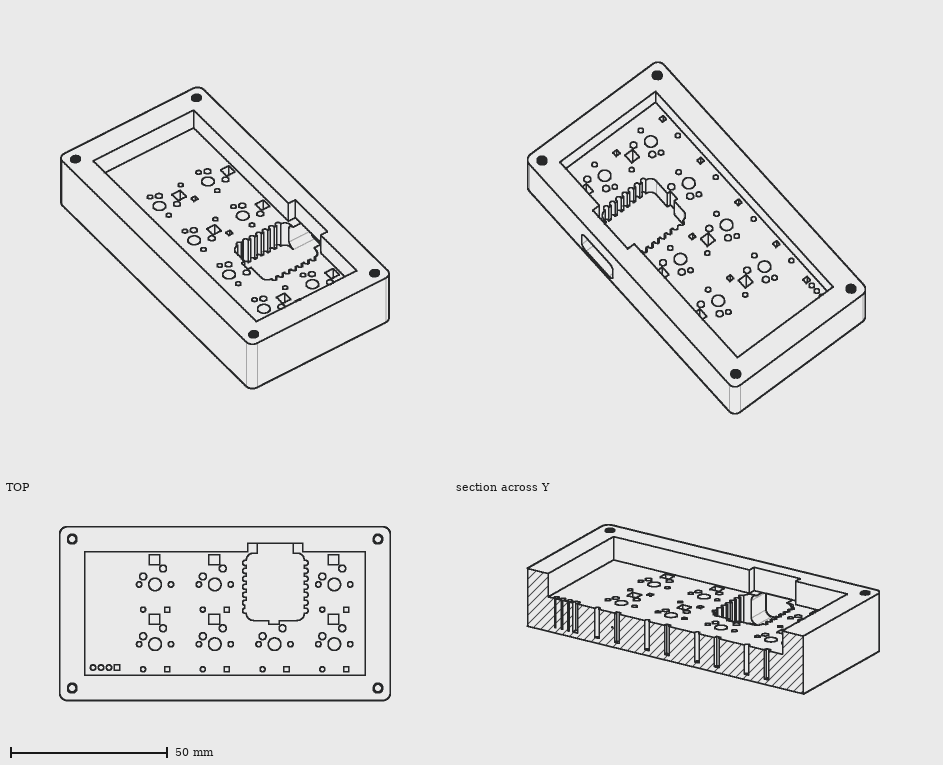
import cadquery as cq
CASE_LENGTH = 105.5
CASE_WIDTH = 55.5
CASE_HEIGHT = 20.0
CORNER_RADIUS = 2.5

TRAY_LENGTH = 89.3
TRAY_WIDTH = 39.4
TRAY_DEPTH = 8.0
TRAY_FLOOR = CASE_HEIGHT - TRAY_DEPTH

RECESS_FLOOR = 2.0
RECESS_DEPTH = TRAY_FLOOR - RECESS_FLOOR

KEY_PITCH = 19.05
KEY_COLUMNS = 4
KEY_ROWS = 2
FIRST_KEY_X = -22.3
FIRST_KEY_Y = -9.75

GRID = 1.27
STEM_DIAMETER = 4.0
GUIDE_DIAMETER = 1.7
GUIDE_OFFSET = 4 * GRID
CONTACT_DIAMETER = 2.2
CONTACT_POINTS = [(-3 * GRID, 2 * GRID), (2 * GRID, 4 * GRID)]
LED_LENGTH = 3.4
LED_WIDTH = 3.2
LED_X = -0.2
LED_Y = 7.9
DIODE_PAD = 1.6
DIODE_OFFSET = 3 * GRID
DIODE_Y = -8.0

HEADER_PINS = 4
PIN_PITCH = 2 * GRID
HEADER_PAD = 1.7
HEADER_X = -34.45
HEADER_Y = -17.2

MODULE_X = 16.05
MODULE_Y = 8.55
MODULE_LENGTH = 18.5
MODULE_WIDTH = 21.5
MODULE_CORNER_RADIUS = 2.3
MODULE_PADS = 7
PAD_DIAMETER = 1.7
PAD_OFFSET_X = 9.6
PAD_ROW_Y = 8.55

STEP_DEPTH = 0.5

NOTCH_LENGTH = 17.6
NOTCH_EDGE_Y = 22.4
USB_LENGTH = 15.5
USB_CORNER_RADIUS = 2.0

SCREW_INSET = 4.0
THREAD_MAJOR = 3.09
THREAD_MINOR = 2.53
THREAD_PITCH = 0.5
THREAD_TURNS = 11
SCREW_HOLE_DEPTH = 6.5
GROOVE_START_RADIUS = 1.2
GROOVE_START_WIDTH = 0.47
GROOVE_ROOT_WIDTH = 0.06


def block(length, width, x, y, floor, top):
    """Rectangular block centred on (x, y) between two heights."""
    return cq.Workplane("XY", origin=(x, y, floor)).rect(length, width).extrude(top - floor)


def recess_boxes(points, length, width):
    """Rectangular pockets from the tray floor down to the recess floor."""
    return (
        cq.Workplane("XY", origin=(0, 0, RECESS_FLOOR))
        .pushPoints(points)
        .rect(length, width)
        .extrude(RECESS_DEPTH)
    )


def recess_holes(points, diameter):
    """Round pockets from the tray floor down to the recess floor."""
    return (
        cq.Workplane("XY", origin=(0, 0, RECESS_FLOOR))
        .pushPoints(points)
        .circle(diameter / 2)
        .extrude(RECESS_DEPTH)
    )


def key_centres():
    """Stem centres of every key in the grid."""
    return [
        (FIRST_KEY_X + column * KEY_PITCH, FIRST_KEY_Y + row * KEY_PITCH)
        for column in range(KEY_COLUMNS)
        for row in range(KEY_ROWS)
    ]


def cut_keys(body):
    """Cut the stem, guide, contact, LED and diode pockets of each key."""
    centres = key_centres()

    def at(dx, dy):
        return [(x + dx, y + dy) for x, y in centres]

    body = body.cut(recess_holes(centres, STEM_DIAMETER))
    for side in (-1, 1):
        body = body.cut(recess_holes(at(side * GUIDE_OFFSET, 0), GUIDE_DIAMETER))
    for dx, dy in CONTACT_POINTS:
        body = body.cut(recess_holes(at(dx, dy), CONTACT_DIAMETER))
    body = body.cut(recess_boxes(at(LED_X, LED_Y), LED_LENGTH, LED_WIDTH))
    body = body.cut(recess_holes(at(-DIODE_OFFSET, DIODE_Y), DIODE_PAD))
    return body.cut(recess_boxes(at(DIODE_OFFSET, DIODE_Y), DIODE_PAD, DIODE_PAD))


def cut_header(body):
    """Cut the square first pin and the round pins to its left."""
    pins = [(HEADER_X - index * PIN_PITCH, HEADER_Y) for index in range(HEADER_PINS)]
    body = body.cut(recess_boxes(pins[:1], HEADER_PAD, HEADER_PAD))
    return body.cut(recess_holes(pins[1:], HEADER_PAD))


def cut_module(body):
    """Cut the rounded controller recess and its pad reliefs."""
    recess = recess_boxes([(MODULE_X, MODULE_Y)], MODULE_LENGTH, MODULE_WIDTH)
    body = body.cut(recess.edges("|Z").fillet(MODULE_CORNER_RADIUS))
    middle = (MODULE_PADS - 1) / 2
    pads = [
        (MODULE_X + side * PAD_OFFSET_X, PAD_ROW_Y + (index - middle) * PIN_PITCH)
        for side in (-1, 1)
        for index in range(MODULE_PADS)
    ]
    step_x = MODULE_X - MODULE_LENGTH / 2
    step_y = PAD_ROW_Y + (0.5 - middle) * PIN_PITCH
    body = body.cut(recess_boxes([(step_x, step_y)], 2 * STEP_DEPTH, PIN_PITCH))
    return body.cut(recess_holes(pads, PAD_DIAMETER))


def cut_usb(body):
    """Cut the tray wall notch and the USB tunnel, rounded along all four long edges."""
    notch = block(NOTCH_LENGTH, NOTCH_EDGE_Y, MODULE_X, NOTCH_EDGE_Y / 2, TRAY_FLOOR, CASE_HEIGHT)
    tunnel_width = CASE_WIDTH / 2 - MODULE_Y
    tunnel = block(
        USB_LENGTH, tunnel_width, MODULE_X, MODULE_Y + tunnel_width / 2, RECESS_FLOOR, TRAY_FLOOR
    )
    tunnel = tunnel.edges("|Y").fillet(USB_CORNER_RADIUS)
    return body.cut(notch).cut(tunnel)


def thread_groove():
    """Helical groove that breaks out through Z = 0 on the +Y side."""
    length = (THREAD_TURNS + 1) * THREAD_PITCH
    lowest = -THREAD_TURNS * THREAD_PITCH
    corners = [
        (GROOVE_START_RADIUS, -GROOVE_START_WIDTH / 2),
        (THREAD_MAJOR / 2, -GROOVE_ROOT_WIDTH / 2),
        (THREAD_MAJOR / 2, GROOVE_ROOT_WIDTH / 2),
        (GROOVE_START_RADIUS, GROOVE_START_WIDTH / 2),
    ]
    rails = [
        cq.Wire.makeHelix(THREAD_PITCH, length, radius).translate(cq.Vector(0, 0, lowest + height))
        for radius, height in corners
    ]
    faces = [
        cq.Face.makeRuledSurface(rail, rails[(index + 1) % len(rails)])
        for index, rail in enumerate(rails)
    ]
    for end in (0, 1):
        outline = cq.Wire.makePolygon([rail.positionAt(end) for rail in rails], close=True)
        faces.append(cq.Face.makeFromWires(outline))
    groove = cq.Solid.makeSolid(cq.Shell.makeShell(faces))
    return cq.Workplane(groove).rotate((0, 0, 0), (0, 0, 1), 90)


def cut_screws(body):
    """Cut a blind threaded hole at each corner."""
    bore = cq.Workplane("XY").circle(THREAD_MINOR / 2).extrude(-SCREW_HOLE_DEPTH)
    groove = thread_groove()
    for side_x in (-1, 1):
        for side_y in (-1, 1):
            x = side_x * (CASE_LENGTH / 2 - SCREW_INSET)
            y = side_y * (CASE_WIDTH / 2 - SCREW_INSET)
            place = (x, y, CASE_HEIGHT)
            body = body.cut(bore.translate(place)).cut(groove.translate(place))
    return body


case = block(CASE_LENGTH, CASE_WIDTH, 0, 0, 0, CASE_HEIGHT).edges("|Z").fillet(CORNER_RADIUS)
case = case.cut(block(TRAY_LENGTH, TRAY_WIDTH, 0, 0, TRAY_FLOOR, CASE_HEIGHT))
case = cut_keys(case)
case = cut_header(case)
case = cut_module(case)
case = cut_usb(case)
result = cut_screws(case)